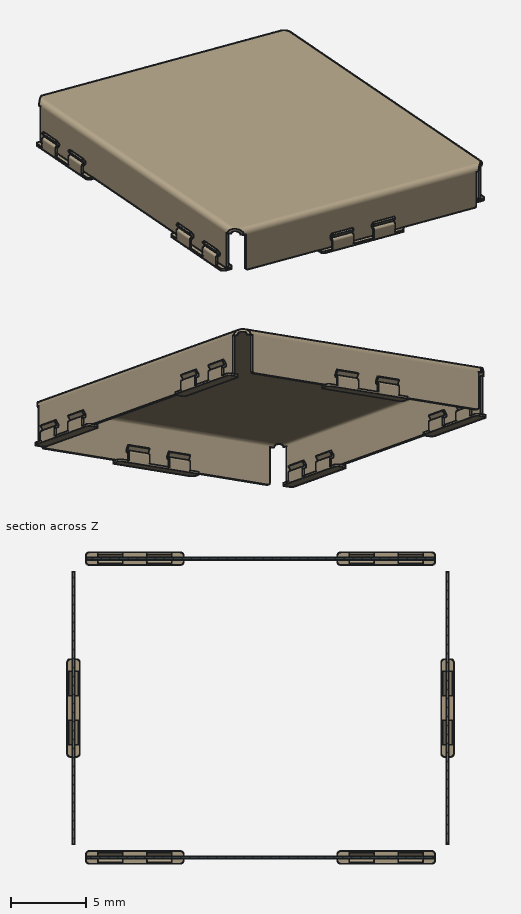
import cadquery as cq
import math

cover_length = 24.98
cover_width = 19.98
cover_height = 3.0
cover_thickness = 0.18
bend_radius = 0.4
corner_cut = 2 * bend_radius
wall_end_inset = 0.95
wall_corner_radius = 0.15

clip_length = 6.5
clip_width = 0.86
clip_thickness = 0.15
clip_height = 1.25
clip_corner_radius = 0.25
flare_angle = math.radians(55)
pinch_angle = math.radians(30)
tab_width = 1.65
tab_offset = clip_length / 4
long_side_clip_offset = 8.33

wall_bottom = clip_thickness
cover_top = wall_bottom + cover_height
half_wall = cover_thickness / 2
long_wall_y = cover_width / 2 - half_wall
short_wall_x = cover_length / 2 - half_wall


def rounded_block(length, width, height, radius):
    """Solid block with a rounded upper edge along all four sides."""
    return (
        cq.Workplane("XY")
        .workplane(offset=wall_bottom)
        .rect(length, width)
        .extrude(height)
        .faces(">Z")
        .edges()
        .fillet(radius)
    )


def wall_block(length, width):
    """Block spanning the cover along X, with its lower corners rounded as seen along X."""
    return (
        cq.Workplane("YZ")
        .workplane(offset=-length / 2)
        .center(0, wall_bottom + cover_height / 2)
        .rect(width - 2 * wall_end_inset, cover_height)
        .extrude(length)
        .edges("|X and <Z")
        .fillet(wall_corner_radius)
    )


def make_cover():
    outside = rounded_block(cover_length, cover_width, cover_height, bend_radius)
    inside = rounded_block(
        cover_length - 2 * cover_thickness,
        cover_width - 2 * cover_thickness,
        cover_height - cover_thickness,
        bend_radius - cover_thickness,
    )
    shell = outside.cut(inside)
    blank = (
        cq.Workplane("XY")
        .workplane(offset=wall_bottom)
        .rect(cover_length, cover_width)
        .extrude(cover_height)
        .edges("|Z")
        .chamfer(corner_cut)
    )
    end_walls = wall_block(cover_length, cover_width)
    side_walls = wall_block(cover_width, cover_length).rotate((0, 0, 0), (0, 0, 1), 90)
    roof = (
        cq.Workplane("XY")
        .workplane(offset=cover_top - bend_radius)
        .rect(cover_length, cover_width)
        .extrude(bend_radius)
    )
    return shell.intersect(blank).intersect(end_walls.union(side_walls).union(roof))


def bend_point(fold, angle):
    """Point on the round side of a bend, in the direction `angle` from its inner fold (y, z)."""
    return (
        fold[0] + clip_thickness * math.cos(angle),
        fold[1] + clip_thickness * math.sin(angle),
    )


def make_spring_arm():
    """Tab along X on the +Y side: rises from the base, bends in to pinch the wall, then flares out."""
    outer = clip_width / 2
    inner = outer - clip_thickness
    flare_normal = flare_angle + math.pi / 2
    flare_corner_z = clip_height - clip_thickness * math.sin(flare_normal)
    flare_corner = (outer, flare_corner_z)
    pinch_y = half_wall + clip_thickness
    pinch_fold = (pinch_y, flare_corner_z - (outer - pinch_y) * math.tan(flare_angle))
    slope_normal = math.pi / 2 - pinch_angle
    knee_drop = (clip_thickness + (inner - pinch_y) * math.sin(pinch_angle)) / math.cos(pinch_angle)
    knee_fold = (inner, pinch_fold[1] - knee_drop)
    return (
        cq.Workplane("YZ")
        .moveTo(inner, 0)
        .lineTo(outer, 0)
        .lineTo(*bend_point(knee_fold, 0))
        .threePointArc(bend_point(knee_fold, slope_normal / 2), bend_point(knee_fold, slope_normal))
        .lineTo(*pinch_fold)
        .lineTo(*flare_corner)
        .lineTo(*bend_point(flare_corner, flare_normal))
        .lineTo(*bend_point(pinch_fold, flare_normal))
        .threePointArc(
            bend_point(pinch_fold, math.pi),
            bend_point(pinch_fold, slope_normal + math.pi),
        )
        .lineTo(*knee_fold)
        .close()
        .extrude(tab_width / 2, both=True)
    )


def make_clip():
    """Clip lying along X, centred on the wall it holds."""
    clip = (
        cq.Workplane("XY")
        .rect(clip_length, clip_width)
        .extrude(clip_thickness)
        .edges("|Z")
        .fillet(clip_corner_radius)
    )
    arm = make_spring_arm()
    arm_pair = [arm, arm.mirror("XZ")]
    for x in (-tab_offset, tab_offset):
        for spring_arm in arm_pair:
            clip = clip.union(spring_arm.translate((x, 0, 0)))
    return clip


cover = make_cover()

clips = []
for y in (-long_wall_y, long_wall_y):
    for x in (-long_side_clip_offset, long_side_clip_offset):
        clips.append(make_clip().translate((x, y, 0)))
for x in (-short_wall_x, short_wall_x):
    clips.append(make_clip().rotate((0, 0, 0), (0, 0, 1), 90).translate((x, 0, 0)))

result = cq.Compound.makeCompound([cover.val(), *[clip.val() for clip in clips]])